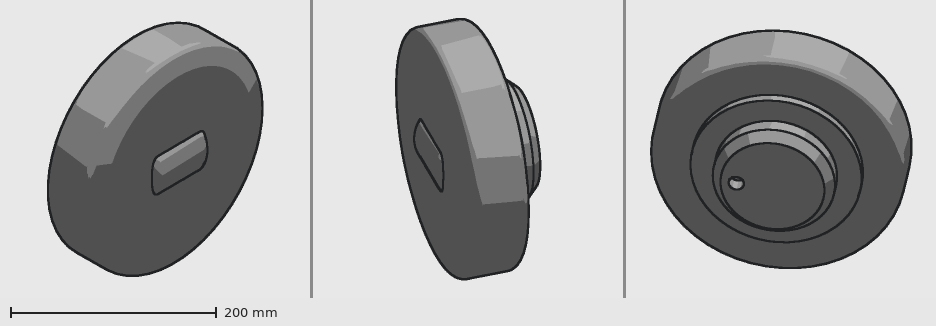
import cadquery as cq
import math

wheel_radius = 125.0
wheel_back_x = 34.8
wheel_front_x = 95.0
rim_fillet = 7.5
rim_front_fillet_x = 83.0
front_taper_angle = 16.0

flange_radius = 84.0
flange_back_x = 25.0
hub_radius = 60.0
hub_bevel_length = 10.0
hub_face_radius = 51.0

pad_height = 7.0
pad_radius = 40.0
pad_half_length = 37.5
pad_fillet = 8.5

hole_offset_y = 35.5
wide_diameter = 15.0
wide_depth = 15.0
narrow_diameter = 5.0
narrow_depth = 15.0
tip_angle = 118.0


def make_body():
    """Revolve the half section (X along the axis, Y as radius)."""
    taper = math.radians(front_taper_angle)
    arc_radius = wheel_radius - rim_fillet

    def front_rim_point(angle):
        return (
            rim_front_fillet_x + rim_fillet * math.cos(angle),
            arc_radius + rim_fillet * math.sin(angle),
        )

    taper_start = front_rim_point(taper)
    arc_middle = front_rim_point((taper + math.pi / 2) / 2)
    face_radius = taper_start[1] - (wheel_front_x - taper_start[0]) / math.tan(taper)
    diagonal = rim_fillet * (1 - math.sqrt(0.5))
    section = (
        cq.Workplane("XY")
        .lineTo(0, hub_face_radius)
        .lineTo(hub_bevel_length, hub_radius)
        .lineTo(flange_back_x, hub_radius)
        .lineTo(flange_back_x, flange_radius)
        .lineTo(wheel_back_x, flange_radius)
        .lineTo(wheel_back_x, arc_radius)
        .threePointArc(
            (wheel_back_x + diagonal, wheel_radius - diagonal),
            (wheel_back_x + rim_fillet, wheel_radius),
        )
        .lineTo(rim_front_fillet_x, wheel_radius)
        .threePointArc(arc_middle, taper_start)
        .lineTo(wheel_front_x, face_radius)
        .lineTo(wheel_front_x, 0)
        .close()
    )
    return section.revolve(360, (0, 0, 0), (1, 0, 0))


def make_pad():
    """Round-edged cylinder along Y, cut off just behind the front face."""
    overlap = 2.5
    axis_x = wheel_front_x + pad_height - pad_radius
    barrel = (
        cq.Workplane("XZ", origin=(axis_x, pad_half_length, 0))
        .circle(pad_radius)
        .extrude(2 * pad_half_length)
        .edges("%CIRCLE")
        .fillet(pad_fillet)
    )
    keep = cq.Workplane("XY").box(
        pad_height + overlap, 2 * pad_half_length, 2 * pad_radius
    ).translate((wheel_front_x + (pad_height - overlap) / 2, 0, 0))
    return barrel.intersect(keep)


def make_hole():
    """Wide bore, then a narrow bore with a conical drill tip."""
    wide_radius = wide_diameter / 2
    narrow_radius = narrow_diameter / 2
    narrow_end = wide_depth + narrow_depth
    tip_length = narrow_radius / math.tan(math.radians(tip_angle / 2))
    section = (
        cq.Workplane("XY", origin=(0, hole_offset_y, 0))
        .lineTo(0, wide_radius)
        .lineTo(wide_depth, wide_radius)
        .lineTo(wide_depth, narrow_radius)
        .lineTo(narrow_end, narrow_radius)
        .lineTo(narrow_end + tip_length, 0)
        .close()
    )
    return section.revolve(360, (0, 0, 0), (1, 0, 0))


result = make_body().union(make_pad()).cut(make_hole())